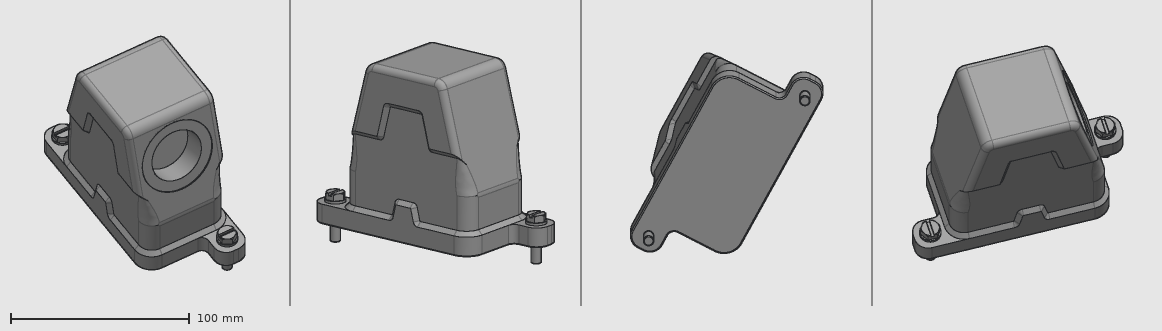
import cadquery as cq
import math

TOP_Z = 100.2
FLANGE_T = 11.7
KINK_Z = 34.6
CAP_EDGE_Z = 56.5

CAP_WIDTH = 58.0
CAP_HALF_Y = CAP_WIDTH / 2
BODY_HALF_X = 45.0
BODY_HALF_Y = 26.3
BODY_CORNER_R = 8.6
CORNER_VANISH_Z = 68.6
CORNER_SECTIONS = 5
LEAN_DEG = 15.0
TOP_END_R = 6.6
CAP_EDGE_R = 3.8
KINK_R = 9.9
CAP_STEP = CAP_HALF_Y - BODY_HALF_Y

CAP_NOTCH_H = 20.9
CAP_NOTCH_HALF_BASE = 16.6
CAP_NOTCH_HALF_TOP = 11.4

SKIRT = 2.6
FLANGE_HALF_X = BODY_HALF_X + SKIRT
FLANGE_HALF_Y = BODY_HALF_Y + SKIRT
FLANGE_CORNER_R = BODY_CORNER_R + SKIRT
FLANGE_EDGE = 0.8
BUMP_H = 10.0
BUMP_HALF_BASE = 9.9
BUMP_HALF_TOP = 7.4

STEP_SMALL_R = 0.5
STEP_LARGE_R = 3.0

LUG_END_X = 66.0
LUG_W = 19.0
LUG_R = 7.8
LUG_ROOT_R = 4.2

SCREW_X = 56.5
SCREW_Y = FLANGE_HALF_Y - LUG_W / 2
SCREW_LENGTH = 11.7
THREAD_D = 6.0
NECK_D = 5.3
NECK_LENGTH = 1.2
TIP_CHAMFER = 0.5
COLLAR_D = 12.0
COLLAR_T = 1.5
HEX_D = 11.5
HEX_H = 4.1
CROWN_CHAMFER = 0.7
SLOT_W = 1.8
SLOT_DEPTH = 1.6

ENTRY_Z = 72.1
ENTRY_D = 32.0
ENTRY_DEPTH = 15.8
SEAT_D = 45.3
SEAT_DEPTH = 0.8


def lean_x(z):
    """Half length of the hood at a height above the kink."""
    return BODY_HALF_X - (z - KINK_Z) * math.tan(math.radians(LEAN_DEG))


def rounded_block(half_x, half_y, height, corner_r):
    """Block standing on Z = 0 with rounded upright edges."""
    block = cq.Workplane("XY").rect(2 * half_x, 2 * half_y).extrude(height)
    return block.edges("|Z").fillet(corner_r)


def stepped_prism(half_x, bottom_z, edge_z, rise, half_base, half_top, root_r, tip_r, depth, taper):
    """Area below a level edge with a raised trapezoid, extruded toward -Y from the body side face."""
    outline = [
        (-half_x, bottom_z),
        (-half_x, edge_z),
        (-half_base, edge_z),
        (-half_top, edge_z + rise),
        (half_top, edge_z + rise),
        (half_base, edge_z),
        (half_x, edge_z),
        (half_x, bottom_z),
        (-half_x, bottom_z),
    ]
    margin = 0.1
    around_roots = cq.selectors.BoxSelector(
        (-half_base - margin, edge_z - margin, -margin),
        (half_base + margin, edge_z + margin, margin),
    )
    sketch = cq.Sketch().polygon(outline)
    sketch = sketch.vertices(around_roots).fillet(root_r)
    sketch = sketch.reset().vertices(">Y").fillet(tip_r)
    face_plane = cq.Workplane("XZ", origin=(0, -BODY_HALF_Y, 0))
    return face_plane.placeSketch(sketch).extrude(depth, taper=taper)


def add_mirrored(solid):
    """The solid together with its mirror image on the +Y side."""
    return solid.union(solid.mirror("XZ"))


def make_hood_blank():
    """Full-width block with leaning ends and rounded edges."""
    profile = [
        (-BODY_HALF_X, 0),
        (-BODY_HALF_X, KINK_Z),
        (-lean_x(TOP_Z), TOP_Z),
        (lean_x(TOP_Z), TOP_Z),
        (BODY_HALF_X, KINK_Z),
        (BODY_HALF_X, 0),
    ]
    blank = cq.Workplane("XZ", origin=(0, CAP_HALF_Y, 0)).polyline(profile).close().extrude(2 * CAP_HALF_Y)
    blank = blank.edges("|Y").edges(">Z").fillet(TOP_END_R)
    margin = 1.3
    at_kink = cq.selectors.BoxSelector(
        (-BODY_HALF_X - margin, -CAP_HALF_Y, KINK_Z - margin),
        (BODY_HALF_X + margin, CAP_HALF_Y, KINK_Z + margin),
    )
    blank = blank.edges("|Y").edges(at_kink).fillet(KINK_R)
    return blank.faces("<Y or >Y").edges("not <Z").fillet(CAP_EDGE_R)


def corner_radius(z):
    """Body corner radius above the kink, fading smoothly to zero."""
    fade = (z - KINK_Z) / (CORNER_VANISH_Z - KINK_Z)
    return BODY_CORNER_R * (1 - fade ** 2 * (3 - 2 * fade))


def make_body():
    """Upright block with a leaning part on top that ends inside the cap."""
    upright = rounded_block(BODY_HALF_X, BODY_HALF_Y, KINK_Z, BODY_CORNER_R)
    rise = CAP_EDGE_Z + CAP_STEP - KINK_Z
    sections = []
    for index in range(CORNER_SECTIONS):
        z = KINK_Z + rise * index / (CORNER_SECTIONS - 1)
        section = cq.Sketch().rect(2 * lean_x(z), 2 * BODY_HALF_Y).vertices().fillet(corner_radius(z))
        sections.append(section.moved(cq.Location(cq.Vector(0, 0, z))))
    leaning = cq.Workplane("XY").placeSketch(*sections).loft()
    return upright.union(leaning)


def make_under_cap():
    """Space below the cap, with a 45 degree slope that runs inward past the body side faces."""
    beside_body = stepped_prism(
        BODY_HALF_X + CAP_STEP, 0, CAP_EDGE_Z, CAP_NOTCH_H, CAP_NOTCH_HALF_BASE, CAP_NOTCH_HALF_TOP,
        STEP_LARGE_R, STEP_SMALL_R, CAP_STEP, -45,
    )
    inner_y = BODY_HALF_Y - BODY_CORNER_R
    slope = [
        (-BODY_HALF_Y, 0),
        (-BODY_HALF_Y, CAP_EDGE_Z),
        (-inner_y, CAP_EDGE_Z - BODY_CORNER_R),
        (-inner_y, 0),
    ]
    around_corners = cq.Workplane("YZ").polyline(slope).close().extrude(BODY_HALF_X, both=True)
    return add_mirrored(beside_body.union(around_corners))


def make_hood():
    """Body with the cap overhanging its side faces."""
    blank = make_hood_blank()
    body = make_body().intersect(blank)
    cap = blank.cut(make_under_cap())
    return body.union(cap)


def make_lug():
    """Screw lug at the +X, +Y corner."""
    inner_y = FLANGE_HALF_Y - LUG_W
    lug = (
        cq.Workplane("XY")
        .moveTo(LUG_END_X / 2, FLANGE_HALF_Y - LUG_W / 2)
        .rect(LUG_END_X, LUG_W)
        .extrude(FLANGE_T)
        .edges("|Z and >X")
        .fillet(LUG_R)
    )
    root_fillet = (
        cq.Workplane("XY")
        .moveTo(FLANGE_HALF_X - LUG_ROOT_R, inner_y)
        .lineTo(FLANGE_HALF_X + LUG_ROOT_R, inner_y)
        .radiusArc((FLANGE_HALF_X, inner_y - LUG_ROOT_R), -LUG_ROOT_R)
        .lineTo(FLANGE_HALF_X - LUG_ROOT_R, inner_y - LUG_ROOT_R)
        .close()
        .extrude(FLANGE_T)
    )
    return lug.union(root_fillet)


def make_flange():
    """Plate with two lugs, sloped skirt and side bumps."""
    lug = make_lug()
    plate = rounded_block(FLANGE_HALF_X, FLANGE_HALF_Y, FLANGE_T, FLANGE_CORNER_R)
    plate = plate.union(lug).union(lug.rotate((0, 0, 0), (0, 0, 1), 180))
    plate = plate.faces("<Z").chamfer(FLANGE_EDGE)
    skirt = (
        cq.Workplane("XY", origin=(0, 0, FLANGE_T))
        .sketch()
        .rect(2 * FLANGE_HALF_X, 2 * FLANGE_HALF_Y)
        .vertices()
        .fillet(FLANGE_CORNER_R)
        .finalize()
        .extrude(SKIRT, taper=45)
    )
    bump = stepped_prism(
        BODY_HALF_X - BODY_CORNER_R, FLANGE_T / 2, FLANGE_T + SKIRT, BUMP_H, BUMP_HALF_BASE, BUMP_HALF_TOP,
        STEP_SMALL_R, STEP_LARGE_R, SKIRT, 45,
    )
    return plate.union(skirt).union(add_mirrored(bump))


def make_screw():
    """Slotted hexagon screw on the Z axis, passing through the flange."""
    collar_top = FLANGE_T + COLLAR_T
    neck = cq.Workplane("XY", origin=(0, 0, -NECK_LENGTH)).circle(NECK_D / 2).extrude(FLANGE_T)
    thread = (
        cq.Workplane("XY", origin=(0, 0, -SCREW_LENGTH))
        .circle(THREAD_D / 2)
        .extrude(SCREW_LENGTH - NECK_LENGTH)
        .edges()
        .chamfer(TIP_CHAMFER)
    )
    collar = cq.Workplane("XY", origin=(0, 0, FLANGE_T)).circle(COLLAR_D / 2).extrude(COLLAR_T)
    head = cq.Workplane("XY", origin=(0, 0, collar_top)).polygon(6, HEX_D).extrude(HEX_H)
    crown = (
        cq.Workplane("XY", origin=(0, 0, collar_top))
        .circle(HEX_D / 2)
        .extrude(HEX_H)
        .faces(">Z")
        .chamfer(CROWN_CHAMFER)
    )
    slot = (
        cq.Workplane("XY", origin=(0, 0, collar_top + HEX_H - SLOT_DEPTH))
        .rect(SLOT_W, COLLAR_D)
        .extrude(SLOT_DEPTH)
    )
    return neck.union(thread).union(collar).union(head.intersect(crown).cut(slot))


def make_entry():
    """Blind cable entry with a shallow round seat, square to the leaning +X end."""
    lean = math.radians(LEAN_DEG)
    inward = cq.Plane(
        origin=(lean_x(ENTRY_Z), 0, ENTRY_Z),
        xDir=(0, 1, 0),
        normal=(-math.cos(lean), 0, -math.sin(lean)),
    )
    hole = cq.Workplane(inward).circle(ENTRY_D / 2).extrude(ENTRY_DEPTH)
    seat = cq.Workplane(inward).circle(SEAT_D / 2).extrude(SEAT_DEPTH)
    return hole.union(seat)


screw = make_screw()
result = make_hood().cut(make_entry()).union(make_flange())
for side in (-1, 1):
    result = result.union(screw.translate((side * SCREW_X, side * SCREW_Y, 0)))